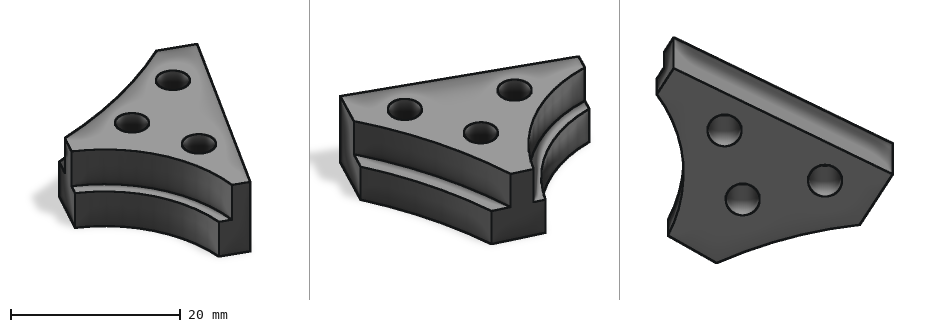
import cadquery as cq

height = 10.0
step_height = height / 2

hole_diameter = 4.0
hole_spacing_x = 9.0
hole_spacing_y = 10.0

top_corner = (-1.1, 17.95)
right_corner = (18.08, -3.95)
nose_sum = -12.0

left_center = (-60.0, 6.0)
left_lower_radius = 54.0
left_ledge = 2.0

bottom_center = (hole_spacing_x, -23.0)
bottom_lower_radius = 17.5
bottom_ledge = 1.5


def nose_corner(corner):
    """Point where the 45-degree side through a corner meets the nose line."""
    side_difference = corner[1] - corner[0]
    return ((nose_sum - side_difference) / 2, (nose_sum + side_difference) / 2)


def make_blank():
    outline = [top_corner, right_corner, nose_corner(right_corner), nose_corner(top_corner)]
    return cq.Workplane("XY").polyline(outline).close().extrude(height)


def cut_stepped_arc(body, center, lower_radius, ledge):
    """Hollow one side with a full-height arc and a wider one above the step."""
    lower = cq.Workplane("XY").center(*center).circle(lower_radius).extrude(height)
    upper = (
        cq.Workplane("XY", origin=(0, 0, step_height))
        .center(*center)
        .circle(lower_radius + ledge)
        .extrude(height - step_height)
    )
    return body.cut(lower).cut(upper)


def cut_holes(body):
    centers = [(0, 0), (hole_spacing_x, 0), (0, hole_spacing_y)]
    holes = cq.Workplane("XY").pushPoints(centers).circle(hole_diameter / 2).extrude(height)
    return body.cut(holes)


body = make_blank()
body = cut_stepped_arc(body, left_center, left_lower_radius, left_ledge)
body = cut_stepped_arc(body, bottom_center, bottom_lower_radius, bottom_ledge)
result = cut_holes(body)